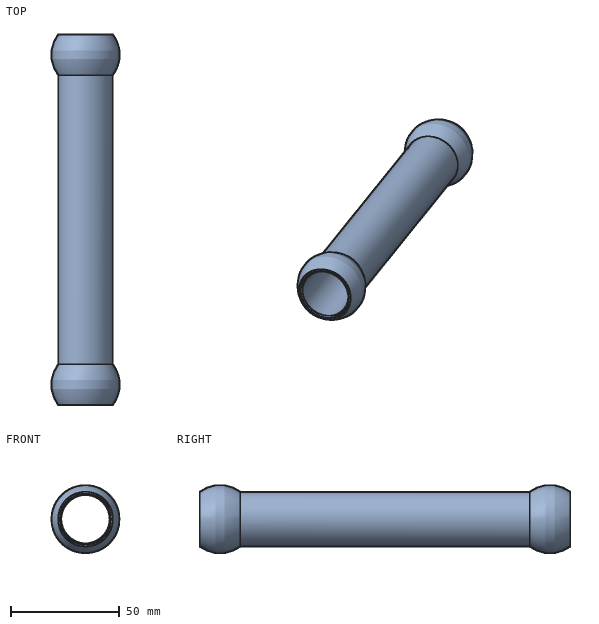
import cadquery as cq

length = 171.5
tube_diameter = 25.4
bore_diameter = 22.3
collar_diameter = 31.5
mouth_chamfer = 0.7
band_width = 4.1
taper_length = 7.4
taper_bulge = 0.5

tube_radius = tube_diameter / 2
collar_radius = collar_diameter / 2
taper_middle_radius = (tube_radius + collar_radius) / 2 + taper_bulge
collar_length = band_width + 2 * taper_length


def make_collar(start):
    """Cylindrical band between two convex tapers, running along +Y from start."""
    profile = (
        cq.Workplane("XY")
        .moveTo(0, start)
        .lineTo(tube_radius, start)
        .threePointArc(
            (taper_middle_radius, start + taper_length / 2),
            (collar_radius, start + taper_length),
        )
        .lineTo(collar_radius, start + taper_length + band_width)
        .threePointArc(
            (taper_middle_radius, start + collar_length - taper_length / 2),
            (tube_radius, start + collar_length),
        )
        .lineTo(0, start + collar_length)
        .close()
    )
    return profile.revolve(360, (0, 0, 0), (0, 1, 0))


def make_rod(diameter):
    """Full-length cylinder along Y, centred on the origin."""
    return cq.Workplane("XZ").circle(diameter / 2).extrude(length / 2, both=True)


body = make_rod(tube_diameter)
for collar_start in (-length / 2, length / 2 - collar_length):
    body = body.union(make_collar(collar_start))

body = body.cut(make_rod(bore_diameter))
result = body.faces("<Y or >Y").edges("%CIRCLE").edges(
    cq.selectors.RadiusNthSelector(0)
).chamfer(mouth_chamfer)